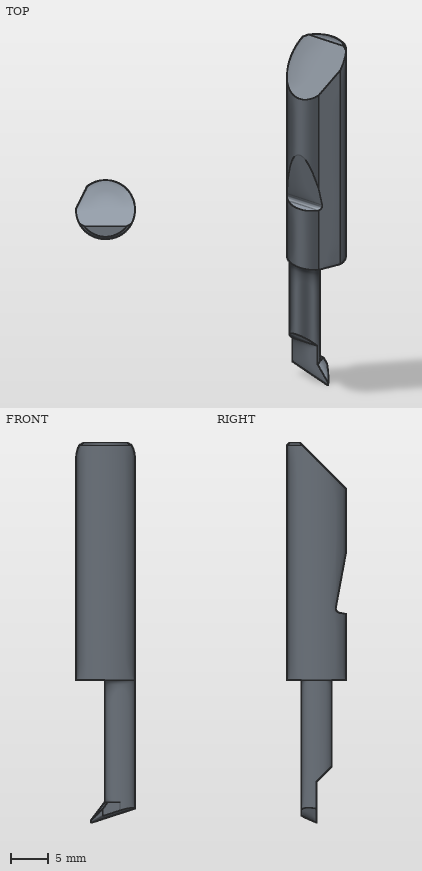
import cadquery as cq
import math


SHANK_DIAMETER = 7.9375
SHANK_RADIUS = SHANK_DIAMETER / 2
SHANK_LENGTH = 31.75
TOP_CHAMFER = 0.35
TOP_LAND_Y = -2.2
FLAT_DISTANCE = 3.6
FLAT_DIRECTION = 153.5

NOTCH_FLOOR_Z = 8.85
NOTCH_RAMP_ANGLE = 10.5
NOTCH_SHOULDER = 1.5
NOTCH_CORNER_RADIUS = 0.6

NECK_DIAMETER = 4.1
NECK_RADIUS = NECK_DIAMETER / 2
NECK_X = SHANK_RADIUS - NECK_RADIUS
REACH = 19.06
RELIEF_END_Z = -13.6

HEAD_TOP_Z = -16.35
TIP_X = -1.94
TIP_LAND = 0.33
NOSE_RADIUS = 0.12
NOSE_DROP = 0.045
SIDE_CLEARANCE = 38.0
SIDE_RADIUS = 10.0
BACK_ANGLE = 53.0
BACK_CLEARANCE = 9.5
END_ANGLE = 18.0
END_CLEARANCE = 11.0

CUT = 40.0


def prism_along_x(points):
    """Prism with a (y, z) outline, passing right across the part in X."""
    return cq.Workplane("YZ").polyline(points).close().extrude(CUT / 2, both=True)


def make_shank():
    shank = cq.Workplane("XY").circle(SHANK_RADIUS).extrude(SHANK_LENGTH)
    shank = shank.faces(">Z").chamfer(TOP_CHAMFER)
    flat_cutter = (
        cq.Workplane("XY")
        .box(CUT, CUT, 2 * CUT)
        .translate((FLAT_DISTANCE + CUT / 2, 0, 0))
        .rotate((0, 0, 0), (0, 0, 1), FLAT_DIRECTION)
    )
    bevel_cutter = prism_along_x([
        (TOP_LAND_Y, SHANK_LENGTH),
        (TOP_LAND_Y + CUT, SHANK_LENGTH - CUT),
        (TOP_LAND_Y + CUT, SHANK_LENGTH),
    ])
    return shank.cut(flat_cutter).cut(bevel_cutter).cut(make_notch_cutter())


def make_notch_cutter():
    """Tilted block with one rounded edge: a long ramp ending in a square shoulder."""
    block = (
        cq.Workplane("XY")
        .box(CUT, CUT, CUT, centered=(True, False, False))
        .edges("|X and <Y and <Z")
        .fillet(NOTCH_CORNER_RADIUS)
    )
    tilt = math.radians(NOTCH_RAMP_ANGLE)
    corner_y = SHANK_RADIUS - NOTCH_SHOULDER * math.cos(tilt)
    corner_z = NOTCH_FLOOR_Z + NOTCH_SHOULDER * math.sin(tilt)
    return (
        block.rotate((0, 0, 0), (1, 0, 0), -NOTCH_RAMP_ANGLE)
        .translate((0, corner_y, corner_z))
    )


def make_neck():
    """Round neck, cut back to the rake face over its lower end."""
    neck = cq.Workplane("XY").center(NECK_X, 0).circle(NECK_RADIUS).extrude(-REACH)
    relief_cutter = prism_along_x([
        (0, RELIEF_END_Z),
        (CUT, RELIEF_END_Z + CUT),
        (CUT, RELIEF_END_Z - CUT),
        (0, RELIEF_END_Z - CUT),
    ])
    return neck.cut(relief_cutter)


def make_head():
    """Plate tangent to the neck, carrying the tip and its clearance faces."""
    front_x = TIP_X + NECK_RADIUS * math.tan(math.radians(SIDE_CLEARANCE))
    bottom_z = -REACH - NOSE_DROP
    head = (
        cq.Workplane("XY", origin=(0, 0, HEAD_TOP_Z))
        .moveTo(TIP_X, 0)
        .radiusArc((front_x, -NECK_RADIUS), -SIDE_RADIUS)
        .lineTo(NECK_X, -NECK_RADIUS)
        .lineTo(NECK_X, 0)
        .close()
        .extrude(bottom_z - HEAD_TOP_Z)
    )
    back_cutter = (
        cq.Workplane("XY")
        .box(CUT, 2 * CUT, CUT, centered=(True, True, False))
        .rotate((0, 0, 0), (1, 0, 0), BACK_CLEARANCE)
        .rotate((0, 0, 0), (0, 1, 0), -BACK_ANGLE)
        .translate((TIP_X, 0, TIP_LAND - REACH))
    )
    return head.cut(back_cutter)


def make_end_cutter():
    """Half space below the cutting edge, tilted up towards -Y for clearance."""
    return (
        cq.Workplane("XY")
        .box(2 * CUT, CUT, CUT)
        .translate((0, 0, -CUT / 2))
        .rotate((0, 0, 0), (1, 0, 0), -END_CLEARANCE)
        .rotate((0, 0, 0), (0, 1, 0), -END_ANGLE)
        .translate((TIP_X, 0, -REACH - NOSE_DROP))
    )


def make_tool_end():
    """Neck and head, trimmed along the cutting edge and rounded at the nose."""
    tool_end = make_neck().union(make_head()).cut(make_end_cutter())
    nose_edge = cq.NearestToPointSelector(((TIP_X + NECK_X - NECK_RADIUS) / 2, -NECK_RADIUS / 2, -REACH))
    return tool_end.edges(nose_edge).fillet(NOSE_RADIUS)


result = make_shank().union(make_tool_end())